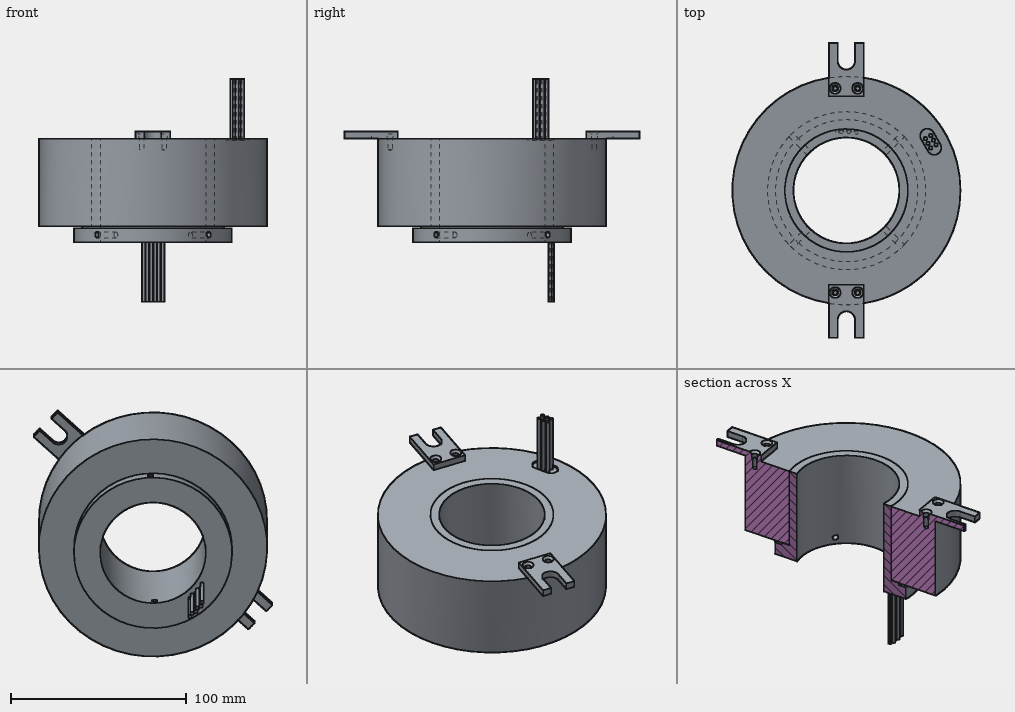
import cadquery as cq
import math


stator_diameter = 130.0
stator_height = 50.0

bore_diameter = 60.1
sleeve_diameter = 70.0
hub_diameter = 81.0
hub_height = 1.0
flange_diameter = 90.0
flange_height = 8.0
set_screw_hole_diameter = 3.2
set_screw_hole_drop = 3.7
set_screw_count = 4
set_screw_first_angle = 45

tab_span = 168
tab_length = 30.4
tab_width = 20.0
tab_thickness = 4.0
fork_slot_width = 9.7
fork_slot_depth = 15.1

screw_hole_spacing = 12.8
screw_hole_radius = 58.1
clearance_hole_diameter = 3.4
tapped_hole_diameter = 2.5
countersink_diameter = 6.2
countersink_angle = 90
screw_hole_depth = 10
drill_tip_angle = 118

wire_diameter = 2.0
wire_length = 34.0

lead_recess_radius = 55.5
lead_recess_angle = 30
lead_recess_length = 16.0
lead_recess_width = 8.0
lead_recess_depth = 1.0
lead_row_spacing = 3.5
lead_spacing = 3.0
lead_rows = 2
leads_per_row = 3

rotor_lead_count = 6
rotor_lead_inner_radius = 33.6
rotor_lead_outer_radius = 34.5
rotor_lead_pitch = 2.2
rotor_lead_offset = 0.2

flange_top = -hub_height
flange_bottom = flange_top - flange_height


def disc(diameter, bottom, height):
    return cq.Workplane("XY").workplane(offset=bottom).circle(diameter / 2).extrude(height)


def tab():
    """Forked tab on the +Y side, open outwards."""
    tab_end = tab_span / 2
    slot_radius = fork_slot_width / 2
    slot_centre = tab_end - fork_slot_depth + slot_radius
    plate = (
        cq.Workplane("XY")
        .workplane(offset=stator_height)
        .center(0, tab_end - tab_length / 2)
        .rect(tab_width, tab_length)
        .extrude(tab_thickness)
    )
    slot = (
        cq.Workplane("XY")
        .workplane(offset=stator_height)
        .moveTo(-slot_radius, tab_end)
        .lineTo(-slot_radius, slot_centre)
        .threePointArc((0, slot_centre - slot_radius), (slot_radius, slot_centre))
        .lineTo(slot_radius, tab_end)
        .close()
        .extrude(tab_thickness)
    )
    return plate.cut(slot)


def screw_hole(x, y):
    """Cutter: countersunk clearance hole in the tab above a blind tapped hole with a drill tip."""
    top = stator_height + tab_thickness
    tapped_radius = tapped_hole_diameter / 2
    head_radius = countersink_diameter / 2
    clearance_radius = clearance_hole_diameter / 2
    countersink_depth = (head_radius - clearance_radius) / math.tan(math.radians(countersink_angle / 2))
    tip_height = tapped_radius / math.tan(math.radians(drill_tip_angle / 2))
    profile = (
        cq.Workplane("XZ")
        .moveTo(0, top)
        .lineTo(head_radius, top)
        .lineTo(clearance_radius, top - countersink_depth)
        .lineTo(clearance_radius, stator_height)
        .lineTo(tapped_radius, stator_height)
        .lineTo(tapped_radius, top - screw_hole_depth)
        .lineTo(0, top - screw_hole_depth - tip_height)
        .close()
    )
    return profile.revolve(360, (0, 0, 0), (0, 1, 0)).translate((x, y, 0))


def lead_recess_plane():
    """Plane in the stator's upper face, centred on the recess, with its x axis along the rim."""
    angle = math.radians(lead_recess_angle)
    centre = (lead_recess_radius * math.cos(angle), lead_recess_radius * math.sin(angle), stator_height)
    return cq.Plane(origin=centre, xDir=(-math.sin(angle), math.cos(angle), 0), normal=(0, 0, 1))


def stator_leads():
    return (
        cq.Workplane(lead_recess_plane())
        .workplane(offset=-lead_recess_depth)
        .rarray(lead_spacing, lead_row_spacing, leads_per_row, lead_rows)
        .circle(wire_diameter / 2)
        .extrude(lead_recess_depth + wire_length)
    )


def make_stator():
    ring = disc(stator_diameter, 0, stator_height).cut(disc(sleeve_diameter, 0, stator_height))
    recess = (
        cq.Workplane(lead_recess_plane())
        .slot2D(lead_recess_length, lead_recess_width)
        .extrude(-lead_recess_depth)
    )
    body = ring.cut(recess)
    for tab_angle in (0, 180):
        body = body.union(tab().rotate((0, 0, 0), (0, 0, 1), tab_angle))
    for side in (-1, 1):
        for end in (-1, 1):
            body = body.cut(screw_hole(side * screw_hole_spacing / 2, end * screw_hole_radius))
    return body.union(stator_leads())


def set_screw_hole(angle):
    """Cutter for a radial hole from the bore out through the flange."""
    return (
        cq.Workplane("YZ")
        .center(0, flange_top - set_screw_hole_drop)
        .circle(set_screw_hole_diameter / 2)
        .extrude(flange_diameter / 2)
        .rotate((0, 0, 0), (0, 0, 1), angle)
    )


def rotor_lead(index):
    radius = rotor_lead_inner_radius if index % 2 else rotor_lead_outer_radius
    x = rotor_lead_offset + (index - (rotor_lead_count - 1) / 2) * rotor_lead_pitch
    y = math.sqrt(radius**2 - x**2)
    return disc(wire_diameter, flange_bottom - wire_length, wire_length).translate((x, y, 0))


def make_rotor():
    body = disc(sleeve_diameter, 0, stator_height)
    body = body.union(disc(hub_diameter, flange_top, hub_height))
    body = body.union(disc(flange_diameter, flange_bottom, flange_height))
    body = body.cut(disc(bore_diameter, flange_bottom, stator_height - flange_bottom))
    for index in range(set_screw_count):
        body = body.cut(set_screw_hole(set_screw_first_angle + index * 360 / set_screw_count))
    for index in range(rotor_lead_count):
        body = body.union(rotor_lead(index))
    return body


stator = make_stator()
rotor = make_rotor()

result = cq.Compound.makeCompound([stator.val(), rotor.val()])